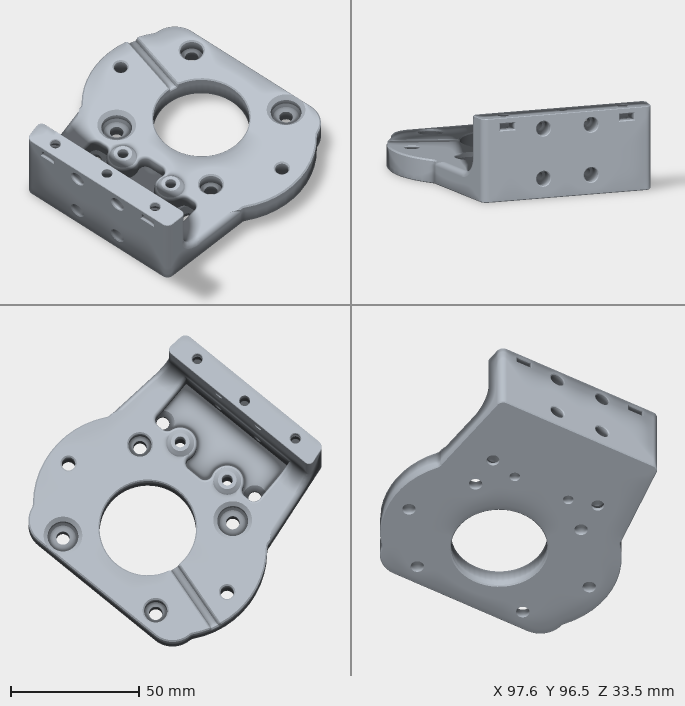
import cadquery as cq
import math

OVERALL_HEIGHT = 33.5
PLATE_THICKNESS = 9.5
PLATE_BACK_Y = 31.3
WALL_FRONT_Y = -65.2
WALL_THICKNESS = 10.0
WALL_BACK_Y = WALL_FRONT_Y + WALL_THICKNESS

HALF_WIDTH = 48.8
SIDE_LOBE_RADIUS = 35.65
SIDE_LOBE_Y = -1.4
SHOULDER_HALF_WIDTH = 40.2
SHOULDER_CORNER_RADIUS = 10.45
LOBE_BLEND_RADIUS = 2.9
PLATE_FRONT_Y = -29.6
PLATE_FRONT_HALF_WIDTH = 38.1
TOP_EDGE_CHAMFER = 0.6
BOTTOM_EDGE_CHAMFER = 0.4

TAPER_START_Y = -25.9
FOOT_FRONT_HALF_WIDTH = 35.3
FOOT_CORNER_RADIUS = 2.9
WALL_FOOT_RADIUS = 8.0
FOOT_EDGE_RADIUS = 2.1
WALL_TOP_CHAMFER = 0.2

BORE_DIAMETER = 37.7
BORE_CHAMFER = 0.5
SCREW_PITCH_HALF = 23.5
SCREW_HOLE_DIAMETER = 5.3
SMALL_BORE_DIAMETER = 9.1
SMALL_BORE_CHAMFER = 0.6
HEAD_BORE_DIAMETER = 12.0
HEAD_BORE_TOP_CHAMFER = 1.6
HEAD_BORE_FLOOR_CHAMFER = 1.0
SCREW_BORE_DEPTH = 4.7
SIDE_HOLE_X = 40.2
SIDE_HOLE_CHAMFER = 0.6

GROOVE_ANGLE = 163.5
GROOVE_TOP_WIDTH = 4.9
GROOVE_LIP_CHAMFER = 0.5
GROOVE_FLOOR_WIDTH = 2.7
GROOVE_DEPTH = 1.9
GROOVE_REACH = HALF_WIDTH + 1.0
GROOVE_MOUTH_BEVEL = 0.4

POCKET_HALF_WIDTH = 26.1
POCKET_FLOOR_Z = 3.5
POCKET_FRONT_Y = WALL_BACK_Y + 0.4
POCKET_SHOULDER_Y = -34.1
POCKET_BACK_Y = -28.4
POCKET_CORNER_RADIUS = 2.9
POCKET_EDGE_RADIUS = 1.1
BOSS_X = 11.9
BOSS_Y = -34.2
BOSS_RADIUS = 6.4
BOSS_BASE_RADIUS = 5.5
BOSS_TOP_RADIUS = 3.6
BOSS_HEIGHT = 2.0
BOSS_HOLE_DIAMETER = 4.2
BOSS_HOLE_CHAMFER = 0.2
POCKET_HOLE_X = 23.3
POCKET_HOLE_Y = -37.3
POCKET_HOLE_DIAMETER = 5.1
POCKET_HOLE_SINK_DIAMETER = 9.1

WALL_HOLE_X = 10.0
WALL_HOLE_LOWER_Z = 7.9
WALL_HOLE_SPACING = 20.0
WALL_HOLE_DIAMETER = 3.5
WALL_BORE_DIAMETER = 5.8
WALL_BORE_DEPTH = 6.0
WALL_BORE_CHAMFER = 0.34
NUT_X = 24.9
NUT_Y = -60.3
NUT_WIDTH = 6.1
NUT_TIP_WIDTH = 0.6
NUT_SLOT_BOTTOM_Z = 28.6
NUT_SLOT_HEIGHT = 2.5
NUT_SLOT_CHAMFER = 0.4
NUT_SCREW_DIAMETER = 4.0
NUT_SCREW_CHAMFER = 0.3
NUT_SCREW_DEPTH = 9.8
CENTRE_HOLE_Y = -59.2
CENTRE_HOLE_DIAMETER = 4.2
CENTRE_HOLE_DEPTH = 9.8

OVERCUT = 1.0
SIDES = (-1, 1)


def revolved_cutter(profile):
    """Solid of revolution about Z from (radius, height) points."""
    points = [(0, profile[0][1])] + profile + [(0, profile[-1][1])]
    return cq.Workplane("XZ").polyline(points).close().revolve(360, (0, 0), (0, 1))


def chamfered_hole(diameter, chamfer, top, bottom):
    """Cutter for a round hole from top to bottom with a 45 degree chamfer at its mouth."""
    radius = diameter / 2
    return revolved_cutter([
        (radius, bottom),
        (radius, top - chamfer),
        (radius + chamfer, top),
        (radius + chamfer, top + OVERCUT),
    ])


def groove_cutter():
    """Radial trapezoid groove with bevelled lips, running out through the plate rim."""
    lip_inner_half = GROOVE_TOP_WIDTH / 2 - GROOVE_LIP_CHAMFER
    lip_bottom_z = PLATE_THICKNESS - GROOVE_LIP_CHAMFER
    groove = (
        cq.Workplane("YZ")
        .polyline([
            (-GROOVE_FLOOR_WIDTH / 2, PLATE_THICKNESS - GROOVE_DEPTH),
            (GROOVE_FLOOR_WIDTH / 2, PLATE_THICKNESS - GROOVE_DEPTH),
            (lip_inner_half, lip_bottom_z),
            (GROOVE_TOP_WIDTH / 2, PLATE_THICKNESS),
            (-GROOVE_TOP_WIDTH / 2, PLATE_THICKNESS),
            (-lip_inner_half, lip_bottom_z),
        ])
        .close()
        .extrude(GROOVE_REACH)
    )
    return groove.rotate((0, 0, 0), (0, 0, 1), GROOVE_ANGLE)


def make_plate():
    """Motor plate: shouldered block with a round lobe on each side."""
    shoulders = (
        cq.Workplane("XY")
        .polyline([
            (-SHOULDER_HALF_WIDTH, PLATE_BACK_Y),
            (SHOULDER_HALF_WIDTH, PLATE_BACK_Y),
            (SHOULDER_HALF_WIDTH, TAPER_START_Y),
            (PLATE_FRONT_HALF_WIDTH, PLATE_FRONT_Y),
            (-PLATE_FRONT_HALF_WIDTH, PLATE_FRONT_Y),
            (-SHOULDER_HALF_WIDTH, TAPER_START_Y),
        ])
        .close()
        .extrude(PLATE_THICKNESS)
        .edges("|Z and >Y")
        .fillet(SHOULDER_CORNER_RADIUS)
    )
    lobe_x = HALF_WIDTH - SIDE_LOBE_RADIUS
    shoulder_band = cq.Workplane("XY").box(2.5 * HALF_WIDTH, -2 * TAPER_START_Y, 2 * PLATE_THICKNESS)
    plate = shoulders
    for side in SIDES:
        lobe = (
            cq.Workplane("XY", origin=(side * lobe_x, SIDE_LOBE_Y, 0))
            .circle(SIDE_LOBE_RADIUS)
            .extrude(PLATE_THICKNESS)
            .intersect(shoulder_band)
        )
        plate = plate.union(lobe)
    blend_reach = math.sqrt(SIDE_LOBE_RADIUS**2 - (SHOULDER_HALF_WIDTH - lobe_x)**2)
    for corner_x in (-SHOULDER_HALF_WIDTH, SHOULDER_HALF_WIDTH):
        for corner_y in (SIDE_LOBE_Y - blend_reach, SIDE_LOBE_Y + blend_reach):
            corner = (corner_x, corner_y, PLATE_THICKNESS / 2)
            plate = plate.edges(cq.selectors.NearestToPointSelector(corner)).fillet(LOBE_BLEND_RADIUS)
    plate = plate.cut(groove_cutter())
    outer_rim = plate.edges(
        cq.selectors.BoxSelector(
            (-HALF_WIDTH - OVERCUT, TAPER_START_Y - 0.1, PLATE_THICKNESS - GROOVE_DEPTH - 0.1),
            (HALF_WIDTH + OVERCUT, PLATE_BACK_Y + OVERCUT, PLATE_THICKNESS + OVERCUT),
        )
    ).filter(lambda edge: math.hypot(edge.Center().x, edge.Center().y) > GROOVE_REACH / 2 + OVERCUT)
    return outer_rim.chamfer(TOP_EDGE_CHAMFER)


def make_foot():
    """Tapered L-shaped foot: floor, wall and the concave blend between them."""
    side_outline = (
        cq.Workplane("YZ")
        .moveTo(WALL_FRONT_Y, 0)
        .lineTo(TAPER_START_Y, 0)
        .lineTo(TAPER_START_Y, PLATE_THICKNESS)
        .lineTo(WALL_BACK_Y + WALL_FOOT_RADIUS, PLATE_THICKNESS)
        .radiusArc((WALL_BACK_Y, PLATE_THICKNESS + WALL_FOOT_RADIUS), WALL_FOOT_RADIUS)
        .lineTo(WALL_BACK_Y, OVERALL_HEIGHT)
        .lineTo(WALL_FRONT_Y, OVERALL_HEIGHT)
        .close()
        .extrude(HALF_WIDTH, both=True)
    )
    taper = (
        cq.Workplane("XY")
        .polyline([
            (-SHOULDER_HALF_WIDTH, TAPER_START_Y),
            (SHOULDER_HALF_WIDTH, TAPER_START_Y),
            (FOOT_FRONT_HALF_WIDTH, WALL_FRONT_Y),
            (-FOOT_FRONT_HALF_WIDTH, WALL_FRONT_Y),
        ])
        .close()
        .extrude(OVERALL_HEIGHT)
        .edges("|Z and <Y")
        .fillet(FOOT_CORNER_RADIUS)
    )
    foot = side_outline.intersect(taper)
    inner_sides = cq.selectors.BoxSelector(
        (-HALF_WIDTH, WALL_BACK_Y - 0.1, PLATE_THICKNESS - 0.1),
        (HALF_WIDTH, TAPER_START_Y - 1, OVERALL_HEIGHT - 1),
    )
    foot = foot.edges(inner_sides).edges("not |X").fillet(FOOT_EDGE_RADIUS)
    return foot.faces(">Z").edges().chamfer(WALL_TOP_CHAMFER)


def pocket_cutter():
    """Pocket volume: a wide bay, a narrower bay behind it and two round boss islands."""
    bay = (
        cq.Workplane("XY", origin=(0, 0, POCKET_FLOOR_Z))
        .polyline([
            (-POCKET_HALF_WIDTH, POCKET_FRONT_Y),
            (POCKET_HALF_WIDTH, POCKET_FRONT_Y),
            (POCKET_HALF_WIDTH, POCKET_SHOULDER_Y),
            (BOSS_X, POCKET_SHOULDER_Y),
            (BOSS_X, POCKET_BACK_Y),
            (-BOSS_X, POCKET_BACK_Y),
            (-BOSS_X, POCKET_SHOULDER_Y),
            (-POCKET_HALF_WIDTH, POCKET_SHOULDER_Y),
        ])
        .close()
        .extrude(OVERALL_HEIGHT)
    )
    island = cq.Workplane("XY").circle(BOSS_RADIUS).extrude(2 * OVERALL_HEIGHT)
    island = island.rotate((0, 0, 0), (0, 0, 1), 90)
    for side in SIDES:
        bay = bay.cut(island.translate((side * BOSS_X, BOSS_Y, 0)))
    return bay.edges("|Z and (not <Y)").fillet(POCKET_CORNER_RADIUS)


def add_pocket(body):
    """Cut the pocket, round its mouth and add the conical bosses and their holes."""
    body = body.cut(pocket_cutter())
    mouth = cq.selectors.BoxSelector(
        (-POCKET_HALF_WIDTH - 0.1, WALL_BACK_Y - 0.1, PLATE_THICKNESS - 0.1),
        (POCKET_HALF_WIDTH + 0.1, POCKET_BACK_Y + 0.1, OVERALL_HEIGHT - WALL_FOOT_RADIUS),
    )
    body = body.edges(mouth).fillet(POCKET_EDGE_RADIUS)

    boss = revolved_cutter([
        (BOSS_BASE_RADIUS, POCKET_FLOOR_Z),
        (BOSS_BASE_RADIUS, PLATE_THICKNESS),
        (BOSS_TOP_RADIUS, PLATE_THICKNESS + BOSS_HEIGHT),
    ])
    boss_hole = chamfered_hole(
        BOSS_HOLE_DIAMETER, BOSS_HOLE_CHAMFER, PLATE_THICKNESS + BOSS_HEIGHT, -OVERCUT)
    hole_radius = POCKET_HOLE_DIAMETER / 2
    sink_radius = POCKET_HOLE_SINK_DIAMETER / 2
    sunk_hole = revolved_cutter([
        (hole_radius, -OVERCUT),
        (hole_radius, POCKET_FLOOR_Z - (sink_radius - hole_radius)),
        (sink_radius, POCKET_FLOOR_Z),
    ])
    for side in SIDES:
        boss_place = (side * BOSS_X, BOSS_Y, 0)
        body = body.union(boss.translate(boss_place))
        body = body.cut(boss_hole.translate(boss_place))
        body = body.cut(sunk_hole.translate((side * POCKET_HOLE_X, POCKET_HOLE_Y, 0)))
    return body


def cut_plate_holes(body):
    """Cut the central bore, the side holes and the two kinds of counterbored screw hole."""
    bore_radius = BORE_DIAMETER / 2
    body = body.cut(revolved_cutter([
        (bore_radius + BORE_CHAMFER, 0),
        (bore_radius, BORE_CHAMFER),
        (bore_radius, PLATE_THICKNESS - BORE_CHAMFER),
        (bore_radius + BORE_CHAMFER, PLATE_THICKNESS),
    ]))

    side_hole = chamfered_hole(SCREW_HOLE_DIAMETER, SIDE_HOLE_CHAMFER, PLATE_THICKNESS, -OVERCUT)
    through_hole = cq.Workplane("XY").circle(SCREW_HOLE_DIAMETER / 2).extrude(PLATE_THICKNESS)
    bore_floor = PLATE_THICKNESS - SCREW_BORE_DEPTH
    small_bore = through_hole.union(
        chamfered_hole(SMALL_BORE_DIAMETER, SMALL_BORE_CHAMFER, PLATE_THICKNESS, bore_floor))
    head_radius = HEAD_BORE_DIAMETER / 2
    head_bore = through_hole.union(revolved_cutter([
        (head_radius - HEAD_BORE_FLOOR_CHAMFER, bore_floor),
        (head_radius, bore_floor + HEAD_BORE_FLOOR_CHAMFER),
        (head_radius, PLATE_THICKNESS - HEAD_BORE_TOP_CHAMFER),
        (head_radius + HEAD_BORE_TOP_CHAMFER, PLATE_THICKNESS),
        (head_radius + HEAD_BORE_TOP_CHAMFER, PLATE_THICKNESS + OVERCUT),
    ]))
    for side in SIDES:
        screw_x = side * SCREW_PITCH_HALF
        body = body.cut(side_hole.translate((side * SIDE_HOLE_X, 0, 0)))
        body = body.cut(head_bore.translate((screw_x, screw_x, 0)))
        body = body.cut(small_bore.translate((screw_x, -screw_x, 0)))
    return body


def bevel_groove_mouth(body):
    """Bevel the groove edges where they break into the central bore."""
    angle = math.radians(GROOVE_ANGLE)
    mouth_radius = BORE_DIAMETER / 2
    mouth_x = mouth_radius * math.cos(angle)
    mouth_y = mouth_radius * math.sin(angle)
    half_width = GROOVE_TOP_WIDTH / 2
    mouth = cq.selectors.BoxSelector(
        (mouth_x - half_width, mouth_y - half_width, PLATE_THICKNESS - GROOVE_DEPTH - 0.1),
        (mouth_x + half_width, mouth_y + half_width, PLATE_THICKNESS - 0.1),
    )
    return body.edges(mouth).chamfer(GROOVE_MOUTH_BEVEL)


def cut_wall_holes(body):
    """Cut the wall's screw holes, nut slots and the holes in its top face."""
    radius = WALL_HOLE_DIAMETER / 2
    bore_radius = WALL_BORE_DIAMETER / 2
    screw_hole = revolved_cutter([
        (radius, -WALL_THICKNESS - OVERCUT),
        (radius, -WALL_BORE_DEPTH),
        (bore_radius, -WALL_BORE_DEPTH),
        (bore_radius, -WALL_BORE_CHAMFER),
        (bore_radius + WALL_BORE_CHAMFER, 0),
    ]).rotate((0, 0, 0), (1, 0, 0), 90)

    hexagon_corner = NUT_WIDTH / math.sqrt(3)
    tip_y = hexagon_corner - NUT_TIP_WIDTH / 2 / math.sqrt(3)
    nut_slot = (
        cq.Workplane("XY", origin=(0, 0, NUT_SLOT_BOTTOM_Z))
        .polyline([
            (-NUT_WIDTH / 2, -WALL_THICKNESS),
            (NUT_WIDTH / 2, -WALL_THICKNESS),
            (NUT_WIDTH / 2, hexagon_corner / 2),
            (NUT_TIP_WIDTH / 2, tip_y),
            (-NUT_TIP_WIDTH / 2, tip_y),
            (-NUT_WIDTH / 2, hexagon_corner / 2),
        ])
        .close()
        .extrude(NUT_SLOT_HEIGHT)
    )
    mouth_y = WALL_FRONT_Y - NUT_Y
    slot_middle_z = NUT_SLOT_BOTTOM_Z + NUT_SLOT_HEIGHT / 2
    slot_mouth = (
        cq.Workplane("XZ", origin=(0, mouth_y, slot_middle_z))
        .rect(NUT_WIDTH + 2 * NUT_SLOT_CHAMFER, NUT_SLOT_HEIGHT + 2 * NUT_SLOT_CHAMFER)
        .workplane(offset=-NUT_SLOT_CHAMFER)
        .rect(NUT_WIDTH, NUT_SLOT_HEIGHT)
        .loft(ruled=True)
    )
    nut_slot = nut_slot.union(slot_mouth)
    nut_screw = chamfered_hole(
        NUT_SCREW_DIAMETER, NUT_SCREW_CHAMFER, OVERALL_HEIGHT, OVERALL_HEIGHT - NUT_SCREW_DEPTH)
    for side in SIDES:
        for row in (0, 1):
            height = WALL_HOLE_LOWER_Z + row * WALL_HOLE_SPACING
            body = body.cut(screw_hole.translate((side * WALL_HOLE_X, WALL_FRONT_Y, height)))
        nut_place = (side * NUT_X, NUT_Y, 0)
        body = body.cut(nut_slot.translate(nut_place))
        body = body.cut(nut_screw.translate(nut_place))

    centre_hole = (
        cq.Workplane("XY", origin=(0, CENTRE_HOLE_Y, OVERALL_HEIGHT))
        .circle(CENTRE_HOLE_DIAMETER / 2)
        .extrude(-CENTRE_HOLE_DEPTH)
    )
    return body.cut(centre_hole)


body = make_plate().union(make_foot())
body = body.faces("<Z").edges().chamfer(BOTTOM_EDGE_CHAMFER)
body = add_pocket(body)
body = cut_plate_holes(body)
body = bevel_groove_mouth(body)
result = cut_wall_holes(body)